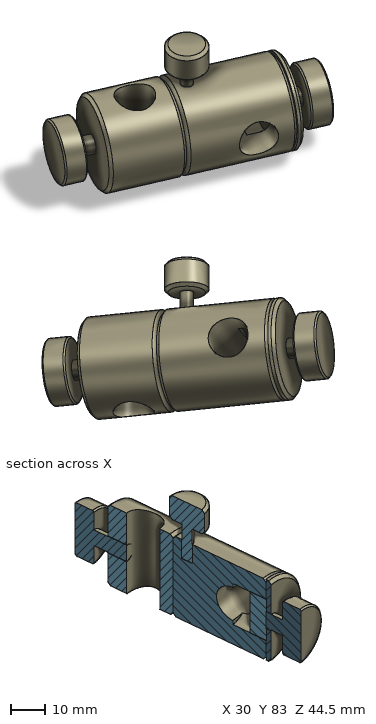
import cadquery as cq


total_length = 83.0
total_height = 44.5
barrel_diameter = 30.0
barrel_radius = barrel_diameter / 2
edge_chamfer = 1.0

front_length = 24.0
rear_length = 34.0
cap_length = 2.0
cap_inner_y = rear_length
cap_outer_y = rear_length + cap_length

bore_diameter = 12.0
bore_radius = bore_diameter / 2
front_bore_y = -10.95
rear_bore_y = 22.0

thumb_head_diameter = 19.9
thumb_stem_diameter = 6.0
thumb_chamfer = 0.5
front_gap = 5.0
rear_gap = 4.0
barrels_length = front_length + rear_length + cap_length
thumb_head_length = (total_length - barrels_length - front_gap - rear_gap) / 2

pad_diameter = 15.0
pad_face_y = rear_bore_y + bore_radius
pad_length = cap_inner_y - pad_face_y

front_grip = front_length + front_bore_y - bore_radius
rear_grip = cap_length

lock_head_diameter = 12.95
lock_stem_diameter = 4.0
lock_y = 5.1
lock_gap = 5.5
lock_head_length = total_height - barrel_diameter - lock_gap
lock_grip = 7.0


def rod(diameter, length, start, direction):
    """Solid cylinder from a start point along a direction."""
    return cq.Workplane(cq.Solid.makeCylinder(diameter / 2, length, cq.Vector(start), cq.Vector(direction)))


def make_screw(seat, outward, grip, gap, stem_diameter, head_diameter, head_length, head_chamfer):
    """Plain-stem screw: `grip` is the depth below the seat, `gap` the exposed stem under the head."""
    seat_point = cq.Vector(seat)
    direction = cq.Vector(outward)
    tip = seat_point - direction * grip
    head_base = seat_point + direction * gap
    stem = rod(stem_diameter, grip + gap, tip, direction)
    head = rod(head_diameter, head_length, head_base, direction).edges("%CIRCLE").chamfer(head_chamfer)
    return head.union(stem)


def make_front_barrel():
    """Front barrel, chamfered at both ends, with a vertical cross bore."""
    barrel = rod(barrel_diameter, front_length, (0, -front_length, 0), (0, 1, 0))
    barrel = barrel.faces("<Y or >Y").chamfer(edge_chamfer)
    cross_bore = rod(bore_diameter, barrel_diameter, (0, front_bore_y, -barrel_radius), (0, 0, 1))
    return barrel.cut(cross_bore)


def make_rear_barrel():
    """Rear barrel, chamfered at both ends, with a cross bore along X."""
    barrel = rod(barrel_diameter, rear_length, (0, 0, 0), (0, 1, 0))
    barrel = barrel.faces("<Y or >Y").chamfer(edge_chamfer)
    cross_bore = rod(bore_diameter, barrel_diameter, (-barrel_radius, rear_bore_y, 0), (1, 0, 0))
    return barrel.cut(cross_bore)


def make_end_cap():
    """Disc closing the rear barrel, chamfered on its outer face only."""
    cap = rod(barrel_diameter, cap_length, (0, cap_inner_y, 0), (0, 1, 0))
    return cap.faces(">Y").chamfer(edge_chamfer)


def make_pressure_pad():
    """Plain disc whose front face is level with the rear cross bore."""
    return rod(pad_diameter, pad_length, (0, pad_face_y, 0), (0, 1, 0))


def make_thumb_screw(seat, outward, grip, gap):
    """Axial thumb screw with a wide, lightly chamfered head."""
    return make_screw(
        seat, outward, grip, gap,
        thumb_stem_diameter, thumb_head_diameter, thumb_head_length, thumb_chamfer,
    )


thumb_placements = [
    ((0, -front_length, 0), (0, -1, 0), front_grip, front_gap),
    ((0, cap_outer_y, 0), (0, 1, 0), rear_grip, rear_gap),
]
thumb_screws = []
for seat, outward, grip, gap in thumb_placements:
    thumb_screws.append(make_thumb_screw(seat, outward, grip, gap))
front_thumb_screw, rear_thumb_screw = thumb_screws

lock_screw = make_screw(
    (0, lock_y, barrel_radius), (0, 0, 1), lock_grip, lock_gap,
    lock_stem_diameter, lock_head_diameter, lock_head_length, edge_chamfer,
)

pressure_pad = make_pressure_pad()

pad_hole = rod(pad_diameter, cap_inner_y - rear_bore_y, (0, rear_bore_y, 0), (0, 1, 0))
front_barrel = make_front_barrel().cut(front_thumb_screw)
rear_barrel = make_rear_barrel().cut(pad_hole).cut(lock_screw)
end_cap = make_end_cap().cut(rear_thumb_screw)

result = cq.Compound.makeCompound([
    front_barrel.val(),
    rear_barrel.val(),
    end_cap.val(),
    pressure_pad.val(),
    *[screw.val() for screw in thumb_screws],
    lock_screw.val(),
])